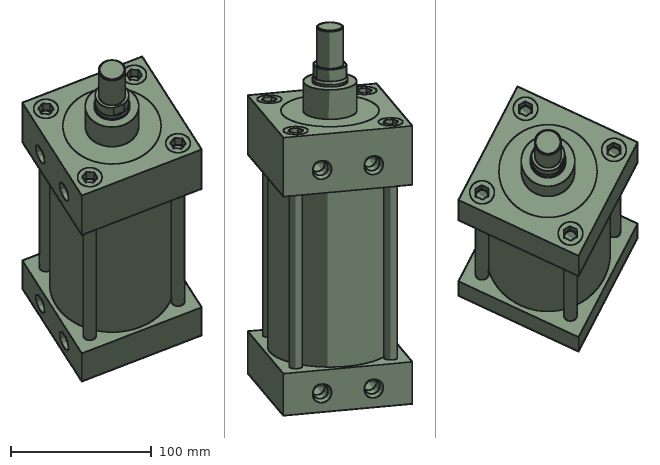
import cadquery as cq
import math

INCH = 25.4

block_side = 3.75 * INCH
cap_height = 1.25 * INCH
barrel_length = 5.25 * INCH
barrel_diameter = 3.5 * INCH
head_height = 1.75 * INCH
head_bottom = cap_height + barrel_length
head_top = head_bottom + head_height

tie_rod_diameter = 0.375 * INCH
tie_rod_spacing = 70.1
rod_head_diameter = 0.6875 * INCH
rod_head_height = 0.5 * INCH
rod_head_bottom = head_top - rod_head_height
socket_width = 0.375 * INCH
socket_depth = 7.5
socket_drill_diameter = 8.6

port_spacing = 1.5 * INCH
port_mouth = 14.0
port_diameter = 10.9
port_taper_depth = 4.0
port_depth = 0.5 * INCH
port_offset = 0.6875 * INCH
upper_port_height = head_bottom + port_offset
lower_port_height = cap_height - port_offset

drill_point_angle = 118

gland_flange_diameter = 2.75 * INCH
gland_boss_diameter = 1.5 * INCH
gland_boss_height = 0.875 * INCH
gland_top = head_top + gland_boss_height

rod_diameter = 1.0 * INCH
rod_top = 10.75 * INCH
rod_exposed_length = 1.6
neck_diameter = 0.9375 * INCH
neck_length = 8.9
thread_diameter = 0.75 * INCH
thread_length = 1.125 * INCH
thread_chamfer = 0.8
flats_width = 0.875 * INCH
neck_top = rod_top - thread_length
neck_bottom = neck_top - neck_length
shoulder_top = gland_top + rod_exposed_length


def cylinder(diameter, bottom, top):
    """Upright cylinder on the Z axis."""
    return cq.Workplane("XY").workplane(offset=bottom).circle(diameter / 2).extrude(top - bottom)


def block(bottom, height):
    """Square end block."""
    return (
        cq.Workplane("XY")
        .workplane(offset=bottom)
        .rect(block_side, block_side)
        .extrude(height)
    )


def drill_point(diameter):
    """Length of the cone left at the bottom of a drilled hole."""
    return diameter / 2 / math.tan(math.radians(drill_point_angle / 2))


def port_cutter():
    """Tapered mouth, straight bore and drill point, running down -Z from the origin."""
    return (
        cq.Workplane("XZ")
        .lineTo(port_mouth / 2, 0)
        .lineTo(port_diameter / 2, -port_taper_depth)
        .lineTo(port_diameter / 2, -port_depth)
        .lineTo(0, -port_depth - drill_point(port_diameter))
        .close()
        .revolve(360, (0, 0, 0), (0, 1, 0))
    )


def socket_cutter():
    """Hexagon socket with a conical floor, running down -Z from the origin."""
    across_corners = socket_width / math.cos(math.pi / 6)
    hexagon = cq.Workplane("XY").polygon(6, across_corners).extrude(-socket_depth)
    floor = (
        cq.Workplane("XZ")
        .lineTo(socket_drill_diameter / 2, 0)
        .lineTo(0, -drill_point(socket_drill_diameter))
        .close()
        .revolve(360, (0, 0, 0), (0, 1, 0))
    )
    return hexagon.union(floor.translate((0, 0, -socket_depth)))


def cut_ports(body, height):
    """Cut the pair of ports into the -Y face at the given height."""
    cutter = port_cutter().rotate((0, 0, 0), (1, 0, 0), 90)
    for side in (-1, 1):
        body = body.cut(cutter.translate((side * port_spacing / 2, -block_side / 2, height)))
    return body


def at_tie_rods(shape):
    """Copies of a shape moved from the Z axis to the four tie rod axes."""
    offsets = (-tie_rod_spacing / 2, tie_rod_spacing / 2)
    return [shape.translate((x, y, 0)) for x in offsets for y in offsets]


def tie_rods():
    """The four tie rods with their round heads, before the sockets are cut."""
    shank = cylinder(tie_rod_diameter, cap_height, rod_head_bottom)
    rod_head = cylinder(rod_head_diameter, rod_head_bottom, head_top)
    return at_tie_rods(shank.union(rod_head))


def make_barrel():
    """Cap, barrel and tie rods in one piece, with hexagon sockets in the rod heads."""
    body = block(0, cap_height)
    body = body.union(cylinder(barrel_diameter, cap_height, head_bottom))
    for rod in tie_rods():
        body = body.union(rod)
    sockets = at_tie_rods(socket_cutter().translate((0, 0, head_top)))
    for socket in sockets:
        body = body.cut(socket)
    return cut_ports(body, lower_port_height)


def make_head():
    """Head block, bored for the gland and the tie rods."""
    body = block(head_bottom, head_height)
    body = body.cut(cylinder(gland_flange_diameter, head_bottom, head_top))
    for rod in tie_rods():
        body = body.cut(rod)
    return cut_ports(body, upper_port_height)


def make_gland():
    """Gland flange flush with the head, with a boss around the piston rod."""
    body = cylinder(gland_flange_diameter, head_bottom, head_top)
    body = body.union(cylinder(gland_boss_diameter, head_top, gland_top))
    return body.cut(cylinder(rod_diameter, head_bottom, gland_top))


def make_piston_rod():
    """Piston rod with a tapered shoulder, a neck with two wrench flats and a threaded end."""
    tip_radius = thread_diameter / 2 - thread_chamfer
    body = (
        cq.Workplane("XZ")
        .moveTo(0, head_bottom)
        .lineTo(rod_diameter / 2, head_bottom)
        .lineTo(rod_diameter / 2, shoulder_top)
        .lineTo(neck_diameter / 2, neck_bottom)
        .lineTo(neck_diameter / 2, neck_top)
        .lineTo(thread_diameter / 2, neck_top)
        .lineTo(thread_diameter / 2, rod_top - thread_chamfer)
        .lineTo(tip_radius, rod_top)
        .lineTo(0, rod_top)
        .close()
        .revolve(360, (0, 0, 0), (0, 1, 0))
    )
    for side in (-1, 1):
        flat = (
            cq.Workplane("XY")
            .workplane(offset=neck_bottom)
            .center(side * (flats_width + rod_diameter) / 2, 0)
            .rect(rod_diameter, rod_diameter)
            .extrude(neck_length)
        )
        body = body.cut(flat)
    return body


barrel = make_barrel()
head = make_head()
gland = make_gland()
piston_rod = make_piston_rod()

result = cq.Compound.makeCompound([barrel.val(), head.val(), gland.val(), piston_rod.val()])